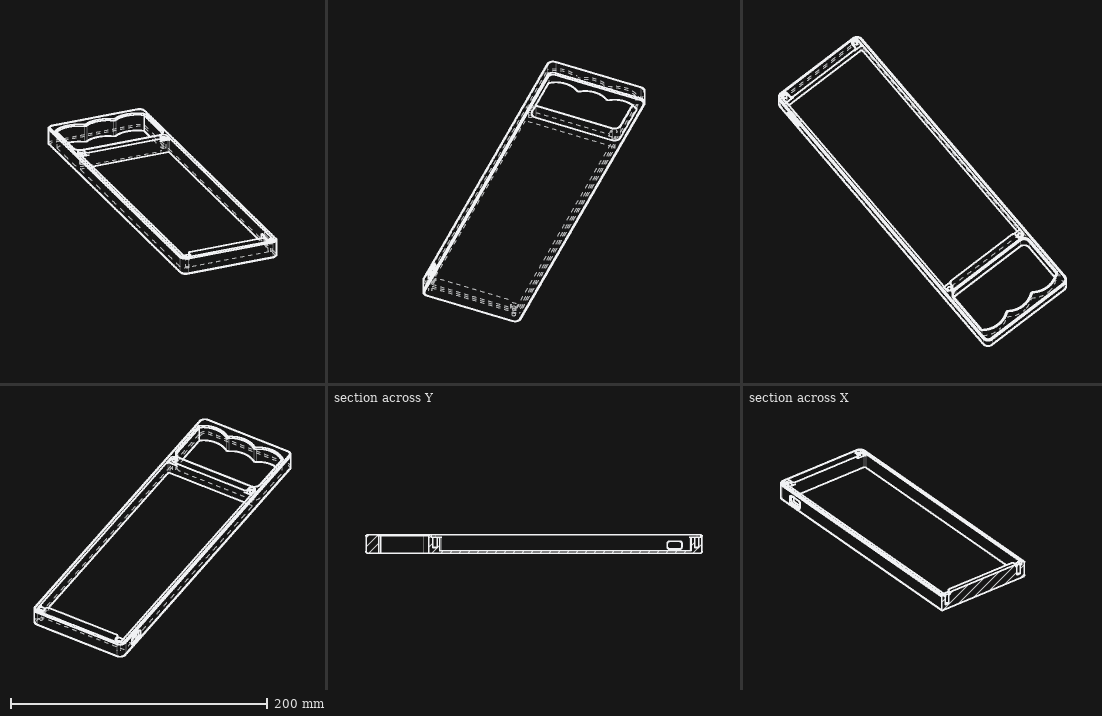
import cadquery as cq
import math

LENGTH = 262.21
WIDTH = 82.15
HEIGHT = 14.6
CORNER_RADIUS = 5.0
OUTER_CHAMFER = 1.0

SIDE_WALL = 3.1
FLOOR = 2.0
CAVITY_X_MIN = -73.5
CAVITY_X_MAX = 122.5
CAVITY_CORNER_RADIUS = 1.0
CAVITY_HALF_WIDTH = WIDTH / 2 - SIDE_WALL

SCREW_DIAMETER = 2.9
SCREW_DEPTH = 8.0
SEAT_RADIUS = 2.7
SEAT_DEPTH = 2.0
SEAT_MOUTH_RADIUS = 2.0
SEAT_Y = CAVITY_HALF_WIDTH - SEAT_RADIUS
LEFT_SCREW_SETBACK = 3.7
RIGHT_SCREW_SETBACK = 4.6
LEFT_SCREW_X = CAVITY_X_MIN - LEFT_SCREW_SETBACK
RIGHT_SCREW_X = CAVITY_X_MAX + RIGHT_SCREW_SETBACK

HANDLE_X_MAX = -81.3
HANDLE_HALF_WIDTH = 37.25
HANDLE_CORNER_RADIUS = 5.0
HANDLE_CHAMFER = 1.0
FINGER_COUNT = 3
FINGER_DEPTH = 4.5
FINGER_CUSP_X = -119.7
FINGER_CUSP_RADIUS = 2.0
FINGER_PITCH = 2 * HANDLE_HALF_WIDTH / FINGER_COUNT

WINDOW_LENGTH = 11.2
WINDOW_HEIGHT = 5.8
WINDOW_CORNER_RADIUS = 1.5
WINDOW_CHAMFER = 1.0
WINDOW_FLARE_ANGLE = 45
WINDOW_X = 109.7
WINDOW_Z = 6.3

SELECT_MARGIN = 0.1


def select_within(x_range, half_width, z_range):
    """Selector for the edges lying wholly inside a box centred on Y = 0."""
    return cq.selectors.BoxSelector(
        (x_range[0], -half_width, z_range[0]),
        (x_range[1], half_width, z_range[1]),
        boundingbox=True,
    )


def make_block():
    block = cq.Workplane("XY").box(LENGTH, WIDTH, HEIGHT, centered=(True, True, False))
    block = block.edges("|Z").fillet(CORNER_RADIUS)
    return block.faces("<Z or >Z").chamfer(OUTER_CHAMFER)


def make_cavity():
    length = CAVITY_X_MAX - CAVITY_X_MIN
    return (
        cq.Workplane("XY", origin=((CAVITY_X_MIN + CAVITY_X_MAX) / 2, 0, FLOOR))
        .rect(length, 2 * CAVITY_HALF_WIDTH)
        .extrude(HEIGHT - FLOOR)
        .edges("|Z")
        .fillet(CAVITY_CORNER_RADIUS)
    )


def make_screw_seat(screw_x, cavity_edge_x, y_side):
    """Recess and screw hole; y_side is +1 or -1 for the wall that the seat runs along."""
    toward_cavity = math.copysign(1, cavity_edge_x - screw_x)
    wall_y = y_side * CAVITY_HALF_WIDTH
    centre_y = y_side * SEAT_Y
    inner_y = centre_y - y_side * SEAT_RADIUS
    mouth_start_x = cavity_edge_x - toward_cavity * SEAT_MOUTH_RADIUS
    mouth_y = inner_y - y_side * SEAT_MOUTH_RADIUS
    inside_x = cavity_edge_x + toward_cavity * CAVITY_CORNER_RADIUS
    diagonal = math.sqrt(0.5)
    mouth_mid = (
        cavity_edge_x - toward_cavity * SEAT_MOUTH_RADIUS * (1 - diagonal),
        mouth_y + y_side * SEAT_MOUTH_RADIUS * diagonal,
    )
    recess = (
        cq.Workplane("XY", origin=(0, 0, HEIGHT - SEAT_DEPTH))
        .moveTo(inside_x, wall_y)
        .lineTo(screw_x, wall_y)
        .threePointArc((screw_x - toward_cavity * SEAT_RADIUS, centre_y), (screw_x, inner_y))
        .lineTo(mouth_start_x, inner_y)
        .threePointArc(mouth_mid, (cavity_edge_x, mouth_y))
        .lineTo(inside_x, mouth_y)
        .close()
        .extrude(SEAT_DEPTH)
    )
    hole_bottom = HEIGHT - SEAT_DEPTH - SCREW_DEPTH
    hole = (
        cq.Workplane("XY", origin=(screw_x, centre_y, hole_bottom))
        .circle(SCREW_DIAMETER / 2)
        .extrude(SCREW_DEPTH)
    )
    return recess.union(hole)


def make_handle_opening():
    outline = (
        cq.Workplane("XY")
        .moveTo(FINGER_CUSP_X, HANDLE_HALF_WIDTH)
        .lineTo(HANDLE_X_MAX, HANDLE_HALF_WIDTH)
        .lineTo(HANDLE_X_MAX, -HANDLE_HALF_WIDTH)
        .lineTo(FINGER_CUSP_X, -HANDLE_HALF_WIDTH)
    )
    for finger in range(FINGER_COUNT):
        start_y = -HANDLE_HALF_WIDTH + finger * FINGER_PITCH
        outline = outline.threePointArc(
            (FINGER_CUSP_X - FINGER_DEPTH, start_y + FINGER_PITCH / 2),
            (FINGER_CUSP_X, start_y + FINGER_PITCH),
        )
    opening = outline.close().extrude(HEIGHT)
    opening = opening.edges("|Z and >X").fillet(HANDLE_CORNER_RADIUS)
    cusp_x_range = (FINGER_CUSP_X - SELECT_MARGIN, FINGER_CUSP_X + SELECT_MARGIN)
    cusp_z_range = (-SELECT_MARGIN, HEIGHT + SELECT_MARGIN)
    cusps = select_within(cusp_x_range, HANDLE_HALF_WIDTH - SELECT_MARGIN, cusp_z_range)
    return opening.edges("|Z").edges(cusps).fillet(FINGER_CUSP_RADIUS)


def chamfer_handle_rim(block):
    rim_x_range = (FINGER_CUSP_X - FINGER_DEPTH - SELECT_MARGIN, HANDLE_X_MAX + SELECT_MARGIN)
    rim_z_range = (HEIGHT - SELECT_MARGIN, HEIGHT + SELECT_MARGIN)
    rim = select_within(rim_x_range, HANDLE_HALF_WIDTH + SELECT_MARGIN, rim_z_range)
    return block.edges(rim).chamfer(HANDLE_CHAMFER)


def make_window():
    """Rounded rectangular passage that flares out at the outer face of the wall."""
    flare_offset = 2 * WINDOW_CHAMFER
    passage = (
        cq.Workplane("XZ", origin=(WINDOW_X, WIDTH / 2, WINDOW_Z))
        .sketch()
        .rect(WINDOW_LENGTH, WINDOW_HEIGHT)
        .vertices()
        .fillet(WINDOW_CORNER_RADIUS)
        .finalize()
        .extrude(SIDE_WALL)
    )
    flare = (
        cq.Workplane("XZ", origin=(WINDOW_X, WIDTH / 2, WINDOW_Z))
        .sketch()
        .rect(WINDOW_LENGTH + flare_offset, WINDOW_HEIGHT + flare_offset)
        .vertices()
        .fillet(WINDOW_CORNER_RADIUS + WINDOW_CHAMFER)
        .finalize()
        .extrude(WINDOW_CHAMFER, taper=WINDOW_FLARE_ANGLE)
    )
    return passage.union(flare)


body = chamfer_handle_rim(make_block().cut(make_handle_opening()))
body = body.cut(make_cavity())
for y_side in (1, -1):
    body = body.cut(make_screw_seat(LEFT_SCREW_X, CAVITY_X_MIN, y_side))
    body = body.cut(make_screw_seat(RIGHT_SCREW_X, CAVITY_X_MAX, y_side))
result = body.cut(make_window())